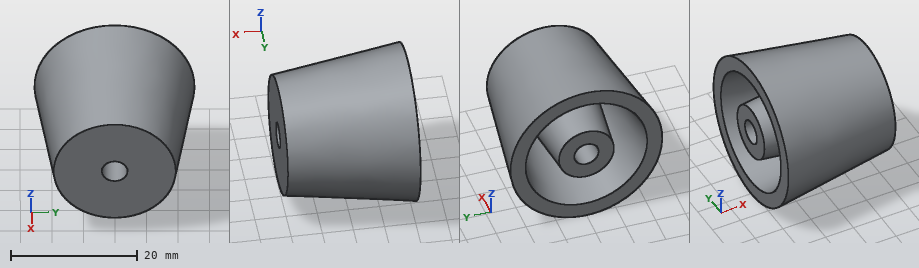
import cadquery as cq

length = 20.83
rim_diameter = 25.4
small_end_diameter = 19.33

cavity_mouth_diameter = 20.32
cavity_floor_diameter = 14.9
body_taper = (rim_diameter - small_end_diameter) / length
cavity_depth = (cavity_mouth_diameter - cavity_floor_diameter) / body_taper

boss_tip_diameter = 9.2
boss_base_diameter = 13.44
bore_diameter = 4.06


def cone_along_x(start_diameter, end_diameter, extent):
    """Solid cone frustum from X = 0 to X = extent."""
    return cq.Workplane("XY").add(
        cq.Solid.makeCone(
            start_diameter / 2,
            end_diameter / 2,
            extent,
            pnt=cq.Vector(0, 0, 0),
            dir=cq.Vector(1, 0, 0),
        )
    )


body = cone_along_x(rim_diameter, small_end_diameter, length)
cavity = cone_along_x(cavity_mouth_diameter, cavity_floor_diameter, cavity_depth)
boss = cone_along_x(boss_tip_diameter, boss_base_diameter, cavity_depth)
bore = cq.Workplane("YZ").circle(bore_diameter / 2).extrude(length)

result = body.cut(cavity.cut(boss)).cut(bore)